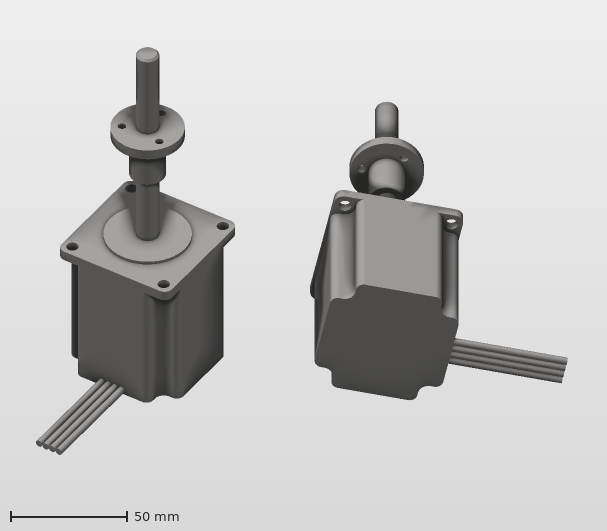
import cadquery as cq
import math

HOUSING_WIDTH = 56.5
HOUSING_HEIGHT = 65.7
FLANGE_THICKNESS = 4.7
FLANGE_CORNER_RADIUS = 3.9
PILOT_DIAMETER = 38.0
PILOT_HEIGHT = 1.5
MOUNT_HOLE_DIAMETER = 5.4
MOUNT_HOLE_INSET = 4.9

RELIEF_RADIUS = 4.5
LOBE_RADIUS = 3.4

SCREW_DIAMETER = 10.0
SCREW_TOP = 167.6
SCREW_CHAMFER = 1.0

WIRE_COUNT = 4
WIRE_DIAMETER = 3.2
WIRE_PITCH = 3.4
WIRE_LENGTH = 50.0
WIRE_CLEARANCE = 0.5

NUT_TOP = 126.5
NUT_LENGTH = 25.6
NUT_DIAMETER = 16.0
NUT_FLANGE_DIAMETER = 32.0
NUT_FLANGE_THICKNESS = 4.9
NUT_HOLE_COUNT = 3
NUT_HOLE_DIAMETER = 3.7
NUT_HOLE_CIRCLE_RADIUS = 11.0

HALF_WIDTH = HOUSING_WIDTH / 2
HOLE_OFFSET = HALF_WIDTH - MOUNT_HOLE_INSET


def make_corner_relief(height):
    """Corner cutter at +X +Y: a scallop around the mounting hole between two rounded lobes."""
    wall = HOLE_OFFSET - RELIEF_RADIUS
    lobe_start = wall - LOBE_RADIUS
    lobe_end = HALF_WIDTH - LOBE_RADIUS
    lobe_mid_along = lobe_start + LOBE_RADIUS * math.sin(math.pi / 4)
    lobe_mid_across = lobe_end + LOBE_RADIUS * math.cos(math.pi / 4)
    scallop_mid = HOLE_OFFSET - RELIEF_RADIUS * math.cos(math.pi / 4)
    return (
        cq.Workplane("XY")
        .moveTo(HALF_WIDTH, HALF_WIDTH)
        .lineTo(lobe_start, HALF_WIDTH)
        .threePointArc((lobe_mid_along, lobe_mid_across), (wall, lobe_end))
        .lineTo(wall, HOLE_OFFSET)
        .threePointArc((scallop_mid, scallop_mid), (HOLE_OFFSET, wall))
        .lineTo(lobe_end, wall)
        .threePointArc((lobe_mid_across, lobe_mid_along), (HALF_WIDTH, lobe_start))
        .close()
        .extrude(height)
    )


def make_housing():
    """Square can with relieved corners, mounting flange and round pilot."""
    can_height = HOUSING_HEIGHT - FLANGE_THICKNESS
    can = cq.Workplane("XY").rect(HOUSING_WIDTH, HOUSING_WIDTH).extrude(can_height)
    relief = make_corner_relief(can_height)
    for angle in (0, 90, 180, 270):
        can = can.cut(relief.rotate((0, 0, 0), (0, 0, 1), angle))

    flange = (
        cq.Workplane("XY", origin=(0, 0, can_height))
        .rect(HOUSING_WIDTH, HOUSING_WIDTH)
        .extrude(FLANGE_THICKNESS)
        .edges("|Z")
        .fillet(FLANGE_CORNER_RADIUS)
        .faces(">Z")
        .workplane()
        .rect(2 * HOLE_OFFSET, 2 * HOLE_OFFSET, forConstruction=True)
        .vertices()
        .hole(MOUNT_HOLE_DIAMETER)
    )
    pilot = (
        cq.Workplane("XY", origin=(0, 0, HOUSING_HEIGHT))
        .circle(PILOT_DIAMETER / 2)
        .extrude(PILOT_HEIGHT)
    )
    return can.union(flange).union(pilot)


def make_screw():
    """Plain lead screw rising from the top of the housing."""
    return (
        cq.Workplane("XY", origin=(0, 0, HOUSING_HEIGHT))
        .circle(SCREW_DIAMETER / 2)
        .extrude(SCREW_TOP - HOUSING_HEIGHT)
        .faces(">Z")
        .chamfer(SCREW_CHAMFER)
    )


def make_wire(x):
    """One straight wire leaving the -Y side of the housing."""
    wire_z = WIRE_CLEARANCE + WIRE_DIAMETER / 2
    return (
        cq.Workplane("XZ", origin=(x, -HALF_WIDTH, wire_z))
        .circle(WIRE_DIAMETER / 2)
        .extrude(WIRE_LENGTH)
    )


def make_motor():
    """Motor as one body: housing, lead screw and wires."""
    motor = make_housing().union(make_screw())
    for index in range(WIRE_COUNT):
        x = (index - (WIRE_COUNT - 1) / 2) * WIRE_PITCH
        motor = motor.union(make_wire(x))
    return motor


def make_nut():
    """Flanged nut, bored to fit the lead screw."""
    sleeve = (
        cq.Workplane("XY", origin=(0, 0, NUT_TOP - NUT_LENGTH))
        .circle(NUT_DIAMETER / 2)
        .extrude(NUT_LENGTH)
    )
    flange = (
        cq.Workplane("XY", origin=(0, 0, NUT_TOP - NUT_FLANGE_THICKNESS))
        .circle(NUT_FLANGE_DIAMETER / 2)
        .extrude(NUT_FLANGE_THICKNESS)
        .faces(">Z")
        .workplane()
        .polarArray(NUT_HOLE_CIRCLE_RADIUS, 90, 360, NUT_HOLE_COUNT)
        .hole(NUT_HOLE_DIAMETER)
    )
    return sleeve.union(flange).faces(">Z").workplane().hole(SCREW_DIAMETER)


motor = make_motor()
nut = make_nut()

result = cq.Compound.makeCompound([motor.solids().val(), nut.solids().val()])